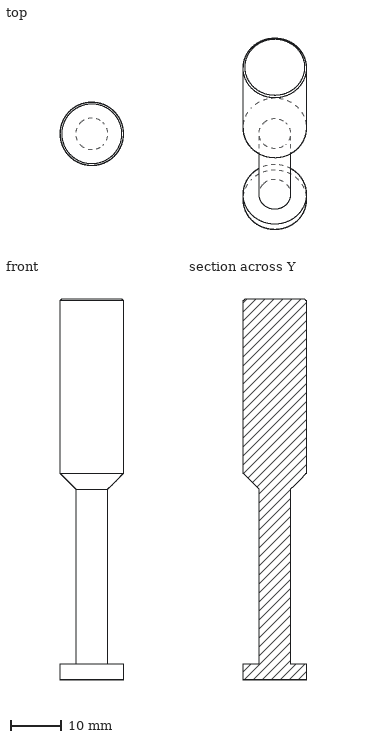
import cadquery as cq

total_length = 76.2
head_diameter = 12.7
stem_diameter = head_diameter / 2
flange_thickness = head_diameter / 4
head_chamfer = 0.4

head_radius = head_diameter / 2
stem_radius = stem_diameter / 2
cone_bottom = total_length / 2
cone_top = cone_bottom + head_radius - stem_radius

profile = (
    cq.Workplane("XZ")
    .moveTo(0, 0)
    .lineTo(-head_radius, 0)
    .lineTo(-head_radius, flange_thickness)
    .lineTo(-stem_radius, flange_thickness)
    .lineTo(-stem_radius, cone_bottom)
    .lineTo(-head_radius, cone_top)
    .lineTo(-head_radius, total_length - head_chamfer)
    .lineTo(-head_radius + head_chamfer, total_length)
    .lineTo(0, total_length)
    .close()
)

result = profile.revolve(360, (0, 0, 0), (0, 1, 0))